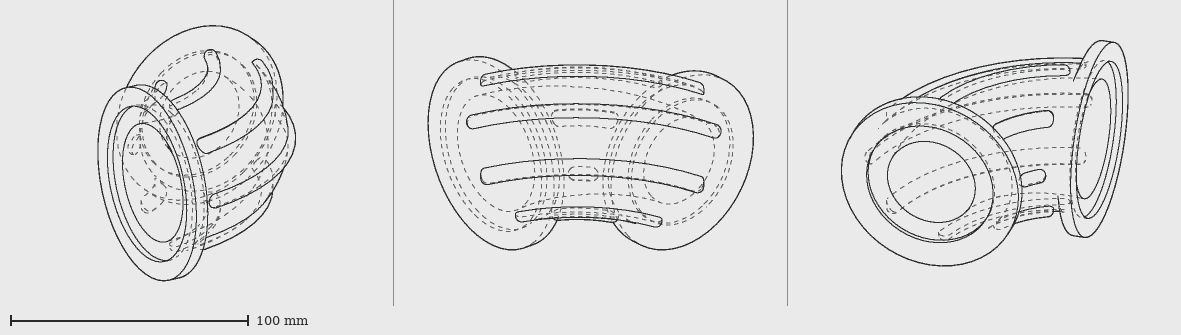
import cadquery as cq
import math

FACE_TO_AXIS = 57.1
BEND_CENTER = -2.5
BEND_RADIUS = 60.2
TUBE_RADIUS = 31.3
TUBE_SETBACK = 3.9

SMALL_FLANGE_DIAMETER = 78.0
LARGE_FLANGE_DIAMETER = 83.1
RIM_WIDTH = 5.6
BACK_ANGLE = 20.4
HUB_RADIUS = 24.7
RIM_FILLET = 1.0
SMALL_NECK_FILLET = 2.4
LARGE_NECK_FILLET = 3.0

SMALL_RECESS_DIAMETER = 55.7
LARGE_RECESS_DIAMETER = 66.8
SMALL_RECESS_DEPTH = 2.2
LARGE_RECESS_DEPTH = 2.8
SMALL_BORE_DIAMETER = 38.7
LARGE_BORE_DIAMETER = 50.9
BORE_SECTIONS = 7

RIB_STEP = 45
RIB_TIP = 12.4
RIB_RADIUS = 2.7
RIB_LIFT = 0.6
RIB_WALL = 5.9
SIDE_RIB_RADIUS = 3.1


def revolve_about_z(profile, start, end):
    """Revolve an XZ profile about the Z axis between two angles in degrees."""
    return profile.revolve(end - start, (0, 0, 0), (0, 1, 0)).rotate((0, 0, 0), (0, 0, 1), start)


def place_on_small_end(shape):
    """Move a shape built upward from Z = 0 to the flange facing -X."""
    return shape.rotate((0, 0, 0), (0, 1, 0), 90).translate((0, FACE_TO_AXIS, 0))


def place_on_large_end(shape):
    """Move a shape built upward from Z = 0 to the flange facing -Y."""
    return shape.rotate((0, 0, 0), (1, 0, 0), -90).translate((FACE_TO_AXIS, 0, 0))


def make_tube():
    """Solid curved tube, trimmed square inside the two flanges."""
    section = cq.Workplane("XZ").moveTo(BEND_RADIUS, 0).circle(TUBE_RADIUS)
    bend = revolve_about_z(section, 0, 90).translate((BEND_CENTER, BEND_CENTER, 0))
    size = 2 * (BEND_RADIUS + TUBE_RADIUS)
    trim = cq.Workplane("XY").box(size, size, size, centered=(False, False, True))
    return bend.intersect(trim.translate((TUBE_SETBACK, TUBE_SETBACK, 0)))


def make_flange(diameter):
    """Solid flange with its face on Z = 0 and a conical back towards +Z."""
    radius = diameter / 2
    height = RIM_WIDTH + (radius - HUB_RADIUS) * math.tan(math.radians(BACK_ANGLE))
    profile = (
        cq.Workplane("XZ")
        .lineTo(radius, 0)
        .lineTo(radius, RIM_WIDTH)
        .lineTo(HUB_RADIUS, height)
        .lineTo(0, height)
        .close()
    )
    blank = revolve_about_z(profile, 0, 360)
    return blank.edges("%CIRCLE").edges(">>Z[-2]").fillet(RIM_FILLET)


def make_body():
    """Tube joined to both flanges, with the necks filleted."""
    body = make_tube()
    body = body.union(place_on_small_end(make_flange(SMALL_FLANGE_DIAMETER)))
    body = body.union(place_on_large_end(make_flange(LARGE_FLANGE_DIAMETER)))
    near = RIM_WIDTH
    deep = 2 * RIM_WIDTH
    wide = 2 * FACE_TO_AXIS
    small_neck = cq.selectors.BoxSelector((near, deep, -wide), (deep, wide, wide))
    large_neck = cq.selectors.BoxSelector((deep, near, -wide), (wide, deep, wide))
    body = body.edges("%BSPLINE").edges(small_neck).fillet(SMALL_NECK_FILLET)
    return body.edges("%BSPLINE").edges(large_neck).fillet(LARGE_NECK_FILLET)


def make_rib(around):
    """Rib at an angle around the tube: 0 is outside the bend, 180 inside."""
    path_radius = BEND_RADIUS + TUBE_RADIUS * math.cos(math.radians(around))
    upright = around % 180 != 0
    if upright:
        radius = RIB_RADIUS
        center = TUBE_RADIUS * math.sin(math.radians(around)) + RIB_LIFT
        base = center - RIB_WALL
        half = (
            cq.Workplane("XZ")
            .moveTo(0, base)
            .lineTo(radius, base)
            .lineTo(radius, center)
            .radiusArc((0, center + radius), -radius)
            .close()
        )
        section = (
            cq.Workplane("XZ")
            .moveTo(path_radius - radius, base)
            .lineTo(path_radius - radius, center)
            .threePointArc((path_radius, center + radius), (path_radius + radius, center))
            .lineTo(path_radius + radius, base)
            .close()
        )
    else:
        radius = SIDE_RIB_RADIUS
        half = cq.Workplane("XZ").moveTo(0, -radius).threePointArc((radius, 0), (0, radius)).close()
        section = cq.Workplane("XZ").moveTo(path_radius, 0).circle(radius)

    start = math.degrees(math.asin((RIB_TIP + radius - BEND_CENTER) / path_radius))
    end = 90 - start
    rib = revolve_about_z(section, start, end)
    cap = revolve_about_z(half, 0, 180)
    for angle, turn in ((start, start + 180), (end, end)):
        x = path_radius * math.cos(math.radians(angle))
        y = path_radius * math.sin(math.radians(angle))
        rib = rib.union(cap.rotate((0, 0, 0), (0, 0, 1), turn).translate((x, y, 0)))
    return rib.translate((BEND_CENTER, BEND_CENTER, 0))


def make_bore():
    """Quarter-turn passage between the recess floors, widening towards the large end."""
    reach_x = FACE_TO_AXIS - SMALL_RECESS_DEPTH
    reach_y = FACE_TO_AXIS - LARGE_RECESS_DEPTH
    sections = []
    for index in range(BORE_SECTIONS):
        share = index / (BORE_SECTIONS - 1)
        turn = share * math.pi / 2
        center = cq.Vector(
            SMALL_RECESS_DEPTH + reach_x * math.sin(turn),
            LARGE_RECESS_DEPTH + reach_y * math.cos(turn),
            0,
        )
        direction = cq.Vector(math.cos(turn), -math.sin(turn), 0)
        diameter = SMALL_BORE_DIAMETER + share * (LARGE_BORE_DIAMETER - SMALL_BORE_DIAMETER)
        sections.append(cq.Wire.makeCircle(diameter / 2, center, direction))
    return cq.Workplane(cq.Solid.makeLoft(sections))


def make_recess(diameter, depth):
    return cq.Workplane("XY").circle(diameter / 2).extrude(depth)


elbow = make_body()
for around_tube in range(0, 181, RIB_STEP):
    bead = make_rib(around_tube)
    elbow = elbow.union(bead)
    if around_tube % 180 != 0:
        elbow = elbow.union(bead.mirror("XY"))

elbow = elbow.cut(place_on_small_end(make_recess(SMALL_RECESS_DIAMETER, SMALL_RECESS_DEPTH)))
elbow = elbow.cut(place_on_large_end(make_recess(LARGE_RECESS_DIAMETER, LARGE_RECESS_DEPTH)))
result = elbow.cut(make_bore())